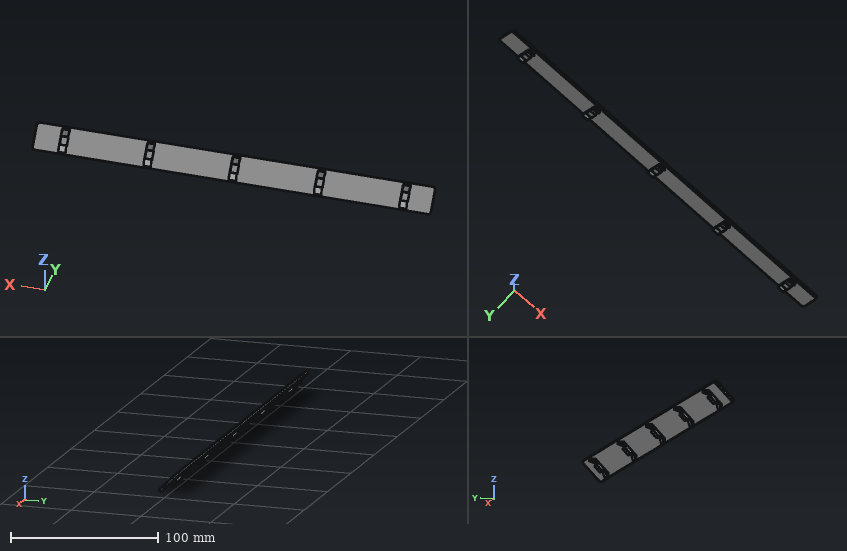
import cadquery as cq

length = 280.0
strip_width = 19.0
strip_thickness = 2.0
corner_radius = 2.0
tilt_angle = 135.0

clip_count = 5
clip_pitch = 60.0
clip_length = 5.0

block_width = 6.0
block_height = 2.2

prong_root_inner = 3.0
prong_root_outer = 6.7
prong_tip_inner = 7.8
prong_tip_size = 0.5
prong_height = 2.5

overlap = 0.5


def make_strip():
    """Flat bar with rounded corners, inner face at the top."""
    strip = cq.Workplane("XY").box(length, strip_width, strip_thickness, centered=(True, True, False))
    return strip.edges("|Z").fillet(corner_radius)


def make_prong():
    """Prong on the +Y side; its narrow tip is cut off at 45 degrees to the strip."""
    root = strip_thickness - overlap
    tip = strip_thickness + prong_height
    outline = [
        (prong_root_inner, root),
        (prong_root_inner, strip_thickness),
        (prong_tip_inner, tip),
        (prong_tip_inner + prong_tip_size, tip - prong_tip_size),
        (prong_root_outer, strip_thickness),
        (prong_root_outer, root),
    ]
    return cq.Workplane("YZ").polyline(outline).close().extrude(clip_length / 2, both=True)


def make_clip():
    """Central block flanked by two mirrored prongs."""
    block_base = cq.Workplane("XY", origin=(0, 0, strip_thickness - overlap))
    block = block_base.box(clip_length, block_width, block_height + overlap, centered=(True, True, False))
    prong = make_prong()
    return block.union(prong).union(prong.mirror("XZ"))


cover = make_strip()
clip = make_clip()
for index in range(clip_count):
    offset = (index - (clip_count - 1) / 2) * clip_pitch
    cover = cover.union(clip.translate((offset, 0, 0)))

result = cover.rotate((0, 0, 0), (1, 0, 0), -tilt_angle)